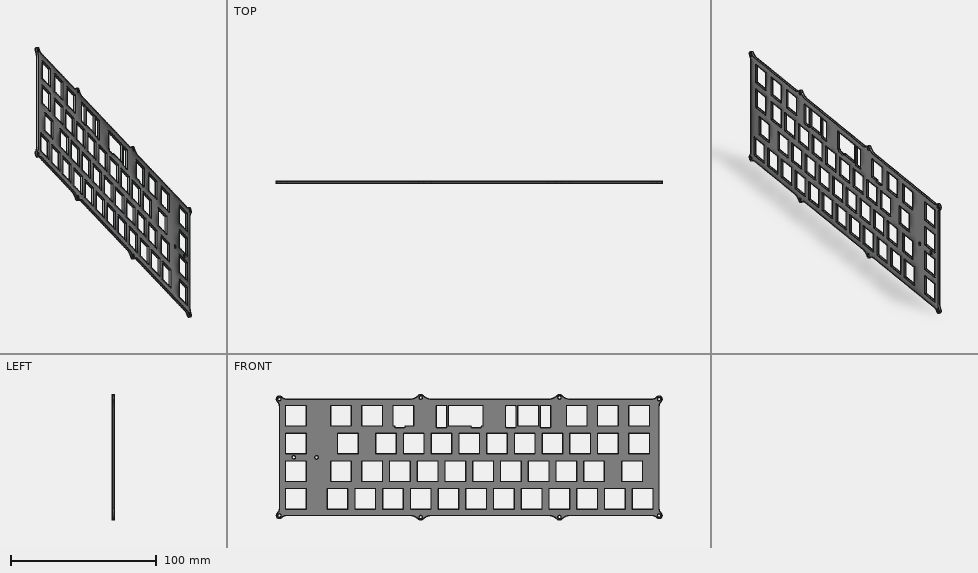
import cadquery as cq
import math

OVERALL_LENGTH = 265.17
OVERALL_HEIGHT = 86.39
THICKNESS = 1.5

UNIT = 19.05
GRID_COLUMNS = 13.5
GRID_ROWS = 4
SWITCH_SIZE = 14.0

SLOT_WIDTH = 7.0
SLOT_HEIGHT = 15.1
SLOT_CORNER_RADIUS = 0.5
SHORT_BAR_OFFSET = 11.938
LONG_BAR_OFFSET = 50.0

TAB_RADIUS = 2.15
SCREW_HOLE_DIAMETER = 2.2
CORNER_FILLET = 5.0
EDGE_FILLET = 8.0
EDGE_TAB_COLUMNS = (5.0, 10.0)

BODY_LENGTH = OVERALL_LENGTH - 2 * TAB_RADIUS
BODY_HEIGHT = 80.0
EDGE_TAB_RISE = OVERALL_HEIGHT / 2 - TAB_RADIUS - BODY_HEIGHT / 2

SMALL_HOLE_DIAMETER = 2.3
SMALL_HOLE_POSITIONS = (-120.5, -104.9)

LEFT_COLUMN = 0.5
MIDDLE_RUN = 9
BOTTOM_RUN = 12
SHORT_BAR_KEYS = (6.375, 8.875)
LONG_BAR_KEY = 6.875


def run_of_keys(first, count):
    """Centres of neighbouring one-unit keys."""
    return [first + step for step in range(count)]


KEY_ROWS = (
    [LEFT_COLUMN, 2.125, 3.25, 4.375, *SHORT_BAR_KEYS, LONG_BAR_KEY, 10.625, 11.75, 12.875],
    [LEFT_COLUMN, 2.375, *run_of_keys(3.75, MIDDLE_RUN), 12.875],
    [LEFT_COLUMN, 2.125, *run_of_keys(3.25, MIDDLE_RUN), 12.625],
    [LEFT_COLUMN, *run_of_keys(2.0, BOTTOM_RUN)],
)


def column_x(column):
    return (column - GRID_COLUMNS / 2) * UNIT


def row_z(row):
    """Height of a row's centre, counting rows from the top."""
    return (GRID_ROWS / 2 - row - 0.5) * UNIT


def prism(outline):
    """Turn an outline in the XZ plane into a slab centred on Y = 0."""
    return outline.extrude(THICKNESS / 2, both=True)


def disc(x, z, diameter):
    return prism(cq.Workplane("XZ").center(x, z).circle(diameter / 2))


def block(x, z, width, height):
    return prism(cq.Workplane("XZ").center(x, z).rect(width, height))


def fillet_web(corner, along, outward, rise, fillet):
    """Web that blends a tab into a straight edge of the body.

    `corner` is the point on the edge below the tab centre and `rise` the height of
    that centre above the edge. `along` and `outward` are unit vectors.
    """
    reach = math.sqrt((TAB_RADIUS + fillet) ** 2 - (fillet - rise) ** 2)

    def point(distance, height):
        return (
            corner[0] + distance * along[0] + height * outward[0],
            corner[1] + distance * along[1] + height * outward[1],
        )

    start_angle = math.radians(270)
    end_angle = math.atan2(rise - fillet, -reach) + math.tau

    def arc_point(angle):
        return point(reach + fillet * math.cos(angle), fillet + fillet * math.sin(angle))

    middle = arc_point((start_angle + end_angle) / 2)
    tangent = arc_point(end_angle)
    outline = (
        cq.Workplane("XZ")
        .moveTo(*point(0, -TAB_RADIUS))
        .lineTo(*point(reach, -TAB_RADIUS))
        .lineTo(*point(reach, 0))
        .threePointArc(middle, tangent)
        .lineTo(*point(0, rise))
        .close()
    )
    return prism(outline)


def corner_tab_centres():
    return [(x * BODY_LENGTH / 2, z * BODY_HEIGHT / 2) for x in (-1, 1) for z in (-1, 1)]


def edge_tab_centres():
    height = BODY_HEIGHT / 2 + EDGE_TAB_RISE
    return [(column_x(column), side * height) for column in EDGE_TAB_COLUMNS for side in (-1, 1)]


def add_corner_tabs(plate):
    for x, z in corner_tab_centres():
        side_x = math.copysign(1, x)
        side_z = math.copysign(1, z)
        plate = plate.union(disc(x, z, 2 * TAB_RADIUS))
        plate = plate.union(fillet_web((x, z), (-side_x, 0), (0, side_z), 0, CORNER_FILLET))
        plate = plate.union(fillet_web((x, z), (0, -side_z), (side_x, 0), 0, CORNER_FILLET))
    return plate


def add_edge_tabs(plate):
    for x, z in edge_tab_centres():
        side_z = math.copysign(1, z)
        foot = (x, z - side_z * EDGE_TAB_RISE)
        plate = plate.union(disc(x, z, 2 * TAB_RADIUS))
        for direction in (-1, 1):
            web = fillet_web(foot, (direction, 0), (0, side_z), EDGE_TAB_RISE, EDGE_FILLET)
            plate = plate.union(web)
    return plate


def cut_round_holes(plate):
    for x, z in corner_tab_centres() + edge_tab_centres():
        plate = plate.cut(disc(x, z, SCREW_HOLE_DIAMETER))
    for x in SMALL_HOLE_POSITIONS:
        plate = plate.cut(disc(x, 0, SMALL_HOLE_DIAMETER))
    return plate


def cut_switch_openings(plate):
    for row, columns in enumerate(KEY_ROWS):
        for column in columns:
            plate = plate.cut(block(column_x(column), row_z(row), SWITCH_SIZE, SWITCH_SIZE))
    return plate


def cut_stabilizer_slots(plate):
    """Slot pairs of the top row; their tops are level with the switch openings."""
    slot_z = row_z(0) + (SWITCH_SIZE - SLOT_HEIGHT) / 2
    pairs = [(key, SHORT_BAR_OFFSET) for key in SHORT_BAR_KEYS]
    pairs.append((LONG_BAR_KEY, LONG_BAR_OFFSET))
    for key, offset in pairs:
        for side in (-1, 1):
            slot = block(column_x(key) + side * offset, slot_z, SLOT_WIDTH, SLOT_HEIGHT)
            plate = plate.cut(slot.edges("|Y").fillet(SLOT_CORNER_RADIUS))
    return plate


result = block(0, 0, BODY_LENGTH, BODY_HEIGHT)
result = add_corner_tabs(result)
result = add_edge_tabs(result)
result = cut_switch_openings(result)
result = cut_stabilizer_slots(result)
result = cut_round_holes(result)